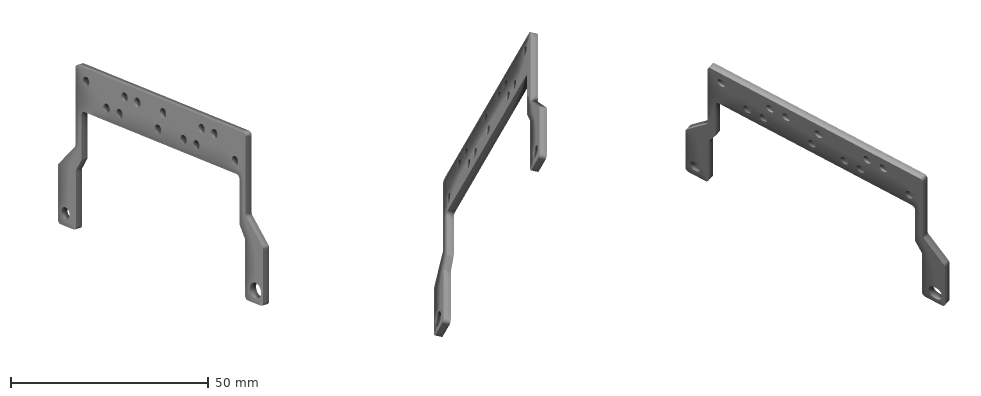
import cadquery as cq

width = 80.0
thickness = 2.0
height = 45.0

bar_half_width = 33.2
bar_depth = 12.0
window_half_width = 30.7
foot_inner_half_width = 33.0
shoulder_depth = 29.0
inner_upper_bend_depth = 25.2
inner_lower_bend_depth = 28.7
corner_radius = thickness / 2

upper_row_steps = (0, 3, 4, 6, 9, 10)
lower_row_steps = (0, 1, 4, 6, 7, 10)
hole_diameter = 2.5
row_span = 50.0
hole_pitch = row_span / max(upper_row_steps)
row_shift = 8.0
edge_distance = 3.5

foot_hole_x = 37.0
left_foot_hole_diameter = 3.2
right_foot_hole_diameter = 4.2

top_z = height / 2
back_y = thickness / 2
bottom_z = -height / 2
foot_half_width = width / 2
upper_row_start_x = -(row_span + row_shift) / 2
lower_row_start_x = upper_row_start_x + row_shift
upper_row_z = top_z - edge_distance
lower_row_z = upper_row_z - hole_pitch
foot_hole_z = bottom_z + edge_distance

shoulder_z = top_z - shoulder_depth
outer_bend_z = shoulder_z + (foot_half_width - bar_half_width)


def make_plate():
    """Bracket outline with rounded corners, centred through its thickness."""
    right_side = [
        (bar_half_width, top_z),
        (bar_half_width, outer_bend_z),
        (foot_half_width, shoulder_z),
        (foot_half_width, bottom_z),
        (foot_inner_half_width, bottom_z),
        (foot_inner_half_width, top_z - inner_lower_bend_depth),
        (window_half_width, top_z - inner_upper_bend_depth),
        (window_half_width, top_z - bar_depth),
    ]
    left_side = [(-x, z) for x, z in reversed(right_side)]
    plate = (
        cq.Workplane("XZ", origin=(0, back_y, 0))
        .polyline(right_side + left_side)
        .close()
        .extrude(thickness)
    )
    return plate.edges("|Y").fillet(corner_radius)


def row_centres(start_x, row_z, steps):
    """(x, z) centres of one row of small holes."""
    return [(start_x + step * hole_pitch, row_z) for step in steps]


def cut_holes(plate, centres, diameter):
    """Cut round holes through the full thickness at the given (x, z) centres."""
    back_plane = cq.Workplane("XZ", origin=(0, back_y, 0))
    cutters = back_plane.pushPoints(centres).circle(diameter / 2).extrude(thickness)
    return plate.cut(cutters)


upper_row = row_centres(upper_row_start_x, upper_row_z, upper_row_steps)
lower_row = row_centres(lower_row_start_x, lower_row_z, lower_row_steps)

result = make_plate()
result = cut_holes(result, upper_row + lower_row, hole_diameter)
result = cut_holes(result, [(-foot_hole_x, foot_hole_z)], left_foot_hole_diameter)
result = cut_holes(result, [(foot_hole_x, foot_hole_z)], right_foot_hole_diameter)